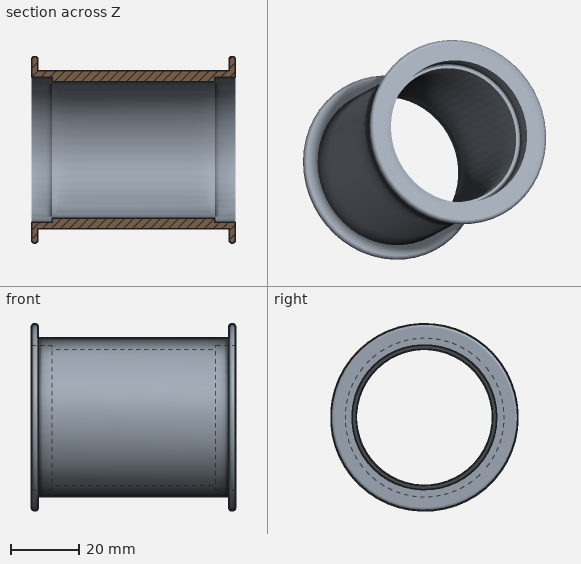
import cadquery as cq

length = 60.0
flange_diameter = 55.0
flange_thickness = 2.0
body_diameter = 46.7

bore_diameter = 40.0
recess_diameter = 42.5
recess_depth = 6.0

left_end = -length / 2
right_end = length / 2


def cylinder_along_x(diameter, start, depth):
    """Solid cylinder on the X axis, starting at x = start."""
    return cq.Workplane("YZ").workplane(offset=start).circle(diameter / 2).extrude(depth)


def rounded_flange(start):
    """End flange disc whose rim is a full half round."""
    end = start + flange_thickness
    middle = start + flange_thickness / 2
    outer_radius = flange_diameter / 2
    flat_radius = outer_radius - flange_thickness / 2
    profile = (
        cq.Workplane("XY")
        .moveTo(start, 0)
        .lineTo(start, flat_radius)
        .threePointArc((middle, outer_radius), (end, flat_radius))
        .lineTo(end, 0)
        .close()
    )
    return profile.revolve(360, (0, 0, 0), (1, 0, 0))


result = cylinder_along_x(body_diameter, left_end, length)
for flange_start in (left_end, right_end - flange_thickness):
    result = result.union(rounded_flange(flange_start))

result = result.cut(cylinder_along_x(bore_diameter, left_end, length))
for recess_start in (left_end, right_end - recess_depth):
    result = result.cut(cylinder_along_x(recess_diameter, recess_start, recess_depth))